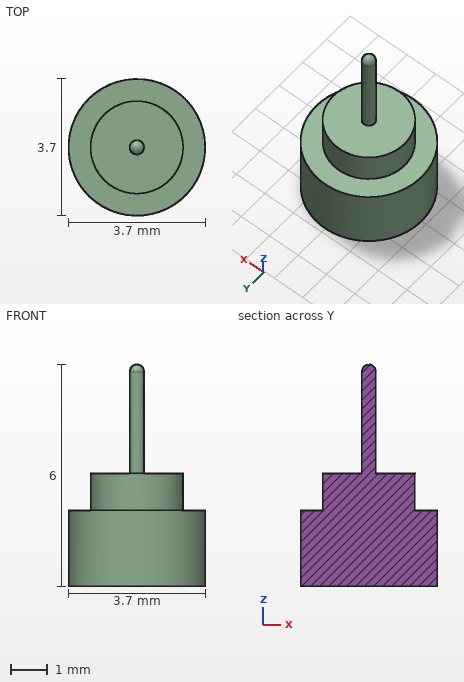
import cadquery as cq

total_height = 6.0
base_diameter = 3.7
base_height = 2.05
collar_diameter = 2.5
collar_height = 1.0
pin_diameter = 0.39

pin_radius = pin_diameter / 2
collar_top = base_height + collar_height
pin_length = total_height - collar_top

base = cq.Workplane("XY").circle(base_diameter / 2).extrude(base_height)

collar = (
    cq.Workplane("XY")
    .workplane(offset=base_height)
    .circle(collar_diameter / 2)
    .extrude(collar_height)
)

straight_top = total_height - pin_radius
tip_arc_offset = pin_radius * 0.5 ** 0.5
pin = (
    cq.Workplane("XZ")
    .moveTo(0, collar_top)
    .lineTo(pin_radius, collar_top)
    .lineTo(pin_radius, straight_top)
    .threePointArc((tip_arc_offset, straight_top + tip_arc_offset), (0, total_height))
    .close()
    .revolve(360, (0, 0), (0, 1))
)

result = base.union(collar).union(pin)